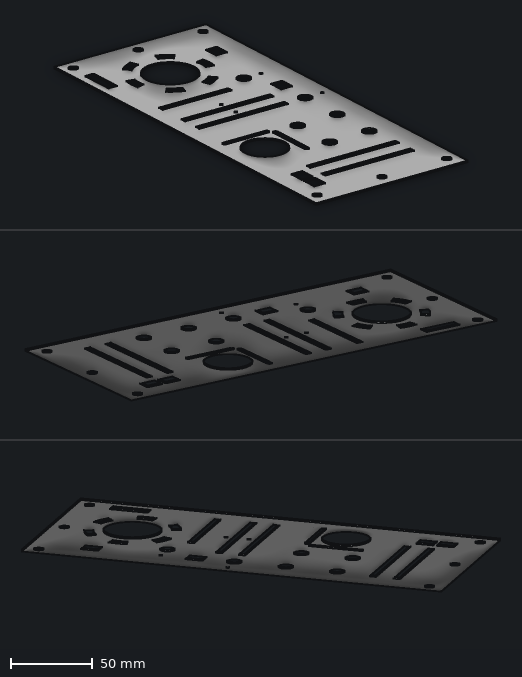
import cadquery as cq
import math

LENGTH = 270
WIDTH = 115.0
THICKNESS = 1.2

SCREW_DIAMETER = 6.0
SCREW_COLUMNS = (8.5, 259.7)
SCREW_PITCH = 49.1
SCREW_ROWS = [WIDTH / 2 + step * SCREW_PITCH for step in (-1, 0, 1)]

KNOB_DIAMETER = 9.2
KNOB_TOP_ROW = 94.5
KNOB_LOWER_ROW = 64.5
KNOB_GRID_COLUMNS = (163.4, 196.3)
LEFT_KNOB = (83.2, 82.5)
MIDDLE_KNOB_X = 130.1
PILOT_DIAMETER = 2.0
PILOT_CENTERS = [(MIDDLE_KNOB_X, 107.5), (LEFT_KNOB[0], 95.5), (108.8, 46.7), (123.7, 46.7)]

SPEAKER_CENTER = (50.2, 51.0)
SPEAKER_DIAMETER = 36.0
VENT_COUNT = 6
VENT_INNER_RADIUS = 24.0
VENT_OUTER_RADIUS = 29.7
VENT_HALF_ANGLE = 11.5

DIAL_CENTER = (179.8, 27.5)
DIAL_DIAMETER = 30.0
DIAL_SLOT_LENGTH = 35
DIAL_SLOT_WIDTH = 3.2
DIAL_SLOT_OFFSET = 19.7

SLIDER_WIDTH = 4.0
LONG_SLIDER = 67.2
SHORT_SLIDER = 52.5
MIDDLE_SLIDER_BOTTOM = 13.0
RIGHT_SLIDER_BOTTOM = 30.8
SHORT_SLIDER_COLUMN = 92.3
MIDDLE_SLIDER_COLUMNS = (115.3, MIDDLE_KNOB_X)
RIGHT_SLIDER_COLUMNS = (220.3, 235.7)

SWITCH_LENGTH = 10.8
SWITCH_WIDTH = 8.5
SWITCH_UPPER_ROW = 94.8
SWITCH_LOWER_ROW = 19.5
SWITCH_CENTERS = [
    (38.3, SWITCH_UPPER_ROW),
    (105.5, SWITCH_UPPER_ROW),
    (229.0, SWITCH_LOWER_ROW),
    (242.2, SWITCH_LOWER_ROW),
]
LABEL_LENGTH = 24.3
LABEL_WIDTH = 6.5
LABEL_CENTER = (35, 9.7)


def round_holes(centers, diameter):
    return cq.Workplane("XY").pushPoints(centers).circle(diameter / 2).extrude(THICKNESS)


def windows(centers, length, width):
    return cq.Workplane("XY").pushPoints(centers).rect(length, width).extrude(THICKNESS)


def sliders(columns, bottom, length):
    centers = [(x, bottom + length / 2) for x in columns]
    return windows(centers, SLIDER_WIDTH, length)


def dial_slot(center, angle):
    return (
        cq.Workplane("XY")
        .center(*center)
        .slot2D(DIAL_SLOT_LENGTH, DIAL_SLOT_WIDTH, angle)
        .extrude(THICKNESS)
    )


def speaker_point(radius, degrees):
    angle = math.radians(degrees)
    return (
        SPEAKER_CENTER[0] + radius * math.cos(angle),
        SPEAKER_CENTER[1] + radius * math.sin(angle),
    )


def vent(middle):
    """Ring sector centred on the given direction in degrees."""
    start = middle - VENT_HALF_ANGLE
    end = middle + VENT_HALF_ANGLE
    return (
        cq.Workplane("XY")
        .moveTo(*speaker_point(VENT_INNER_RADIUS, start))
        .lineTo(*speaker_point(VENT_OUTER_RADIUS, start))
        .threePointArc(speaker_point(VENT_OUTER_RADIUS, middle), speaker_point(VENT_OUTER_RADIUS, end))
        .lineTo(*speaker_point(VENT_INNER_RADIUS, end))
        .threePointArc(speaker_point(VENT_INNER_RADIUS, middle), speaker_point(VENT_INNER_RADIUS, start))
        .close()
        .extrude(THICKNESS)
    )


screw_centers = [(x, y) for x in SCREW_COLUMNS for y in SCREW_ROWS]
knob_centers = [(x, y) for x in KNOB_GRID_COLUMNS for y in (KNOB_LOWER_ROW, KNOB_TOP_ROW)]
knob_centers += [LEFT_KNOB, (MIDDLE_KNOB_X, KNOB_TOP_ROW)]
dial_x, dial_y = DIAL_CENTER

cutouts = [
    round_holes(screw_centers, SCREW_DIAMETER),
    round_holes(knob_centers, KNOB_DIAMETER),
    round_holes(PILOT_CENTERS, PILOT_DIAMETER),
    round_holes([SPEAKER_CENTER], SPEAKER_DIAMETER),
    round_holes([DIAL_CENTER], DIAL_DIAMETER),
    dial_slot((dial_x, dial_y + DIAL_SLOT_OFFSET), 0),
    dial_slot((dial_x - DIAL_SLOT_OFFSET, dial_y), 90),
    sliders([SHORT_SLIDER_COLUMN], MIDDLE_SLIDER_BOTTOM, SHORT_SLIDER),
    sliders(MIDDLE_SLIDER_COLUMNS, MIDDLE_SLIDER_BOTTOM, LONG_SLIDER),
    sliders(RIGHT_SLIDER_COLUMNS, RIGHT_SLIDER_BOTTOM, LONG_SLIDER),
    windows(SWITCH_CENTERS, SWITCH_LENGTH, SWITCH_WIDTH),
    windows([LABEL_CENTER], LABEL_LENGTH, LABEL_WIDTH),
]
cutouts += [vent(90 + index * 360 / VENT_COUNT) for index in range(VENT_COUNT)]

result = cq.Workplane("XY").box(LENGTH, WIDTH, THICKNESS, centered=False)
for cutout in cutouts:
    result = result.cut(cutout)